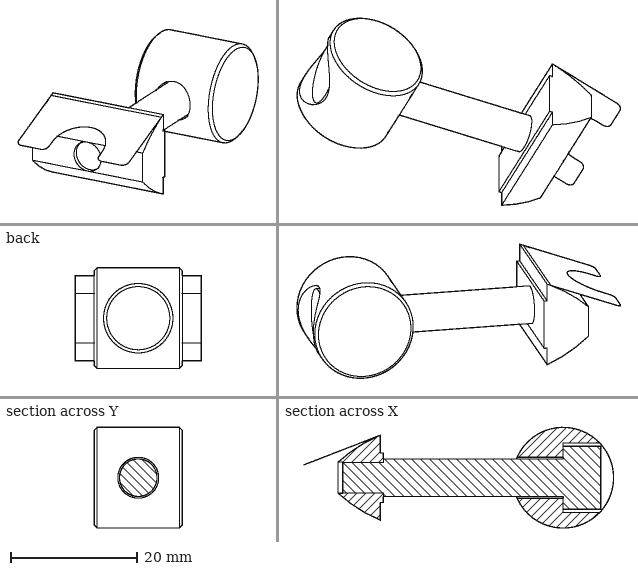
import cadquery as cq
import math


barrel_diameter = 16.0
barrel_length = 14.0
barrel_chamfer = 0.5
clearance_hole_diameter = 6.5
counterbore_diameter = 11.0
counterbore_seat_y = 0.0

shank_diameter = 6.0
head_diameter = 10.0
head_height = 6.0
tip_diameter = 4.9
tip_recess = 0.75

block_width = 20.0
block_back_y = -28.5
block_depth = 7.2
block_front_y = block_back_y - block_depth
block_height = 13.5
front_height = 4.9
pad_thickness = 0.5
pad_height = 7.9
shoulder_y = block_back_y - pad_thickness

overall_length = 49.15
tongue_front_y = barrel_diameter / 2 - overall_length
tongue_thickness = 0.025
tongue_corner_radius = 1.0
notch_width = 9.05
notch_depth = 6.55

flank_run = shoulder_y - block_front_y
flank_drop = (block_height - front_height) / 2
flank_chord = math.hypot(flank_run, flank_drop)
chord_angle = math.atan2(flank_drop, flank_run)
tongue_angle = math.radians(21.2)
flank_start_angle = math.radians(22.5)
flank_sagitta = flank_chord / 2 * math.tan((chord_angle - flank_start_angle) / 2)


def cylinder_along_y(diameter, start_y, end_y):
    """Cylinder on the Y axis between two Y positions."""
    start = cq.Workplane("XZ", origin=(0, start_y, 0))
    return start.circle(diameter / 2).extrude(start_y - end_y)


def make_barrel():
    """Cross barrel with a clearance hole and a counterbore for the screw head."""
    barrel = cq.Workplane("YZ").circle(barrel_diameter / 2).extrude(barrel_length / 2, both=True)
    barrel = barrel.faces("<X or >X").chamfer(barrel_chamfer)
    clearance_hole = cylinder_along_y(clearance_hole_diameter, barrel_diameter, -barrel_diameter)
    counterbore = cylinder_along_y(counterbore_diameter, barrel_diameter, counterbore_seat_y)
    return barrel.cut(clearance_hole).cut(counterbore)


def make_screw():
    """Cylinder-head screw whose reduced tip sits in the bore of the block."""
    head = cylinder_along_y(head_diameter, counterbore_seat_y + head_height, counterbore_seat_y)
    shank = cylinder_along_y(shank_diameter, counterbore_seat_y, block_back_y)
    tip = cylinder_along_y(tip_diameter, block_back_y, block_front_y + tip_recess)
    return head.union(shank).union(tip)


def make_block():
    """Block with a back pad, two curved flanks and a through bore."""
    mid_y = (shoulder_y + block_front_y) / 2
    mid_z = (block_height + front_height) / 4
    arc_y = mid_y - flank_sagitta * math.sin(chord_angle)
    arc_z = mid_z + flank_sagitta * math.cos(chord_angle)
    block = (
        cq.Workplane("YZ")
        .moveTo(block_back_y, pad_height / 2)
        .lineTo(shoulder_y, pad_height / 2)
        .lineTo(shoulder_y, block_height / 2)
        .threePointArc((arc_y, arc_z), (block_front_y, front_height / 2))
        .lineTo(block_front_y, -front_height / 2)
        .threePointArc((arc_y, -arc_z), (shoulder_y, -block_height / 2))
        .lineTo(shoulder_y, -pad_height / 2)
        .lineTo(block_back_y, -pad_height / 2)
        .close()
        .extrude(block_width / 2, both=True)
    )
    return block.cut(cylinder_along_y(tip_diameter, block_back_y, block_front_y))


def make_tongue():
    """Thin sloping sheet with a round-ended notch and rounded front corners."""
    top_z = block_height / 2
    front_z = top_z - (shoulder_y - tongue_front_y) * math.tan(tongue_angle)
    vertical_thickness = tongue_thickness / math.cos(tongue_angle)
    sheet = (
        cq.Workplane("YZ")
        .moveTo(shoulder_y, top_z)
        .lineTo(tongue_front_y, front_z)
        .lineTo(tongue_front_y, front_z - vertical_thickness)
        .lineTo(shoulder_y, top_z - vertical_thickness)
        .close()
        .extrude(block_width / 2, both=True)
    )
    notch_radius = notch_width / 2
    notch_end_y = tongue_front_y + notch_depth
    plan = (
        cq.Workplane("XY")
        .moveTo(-block_width / 2, shoulder_y)
        .lineTo(-block_width / 2, tongue_front_y)
        .lineTo(-notch_radius, tongue_front_y)
        .lineTo(-notch_radius, notch_end_y - notch_radius)
        .threePointArc((0, notch_end_y), (notch_radius, notch_end_y - notch_radius))
        .lineTo(notch_radius, tongue_front_y)
        .lineTo(block_width / 2, tongue_front_y)
        .lineTo(block_width / 2, shoulder_y)
        .close()
        .extrude(block_height / 2)
        .faces("<Y")
        .edges("|Z")
        .fillet(tongue_corner_radius)
    )
    return sheet.intersect(plan)


barrel = make_barrel()
screw = make_screw()
clamp = make_block().union(make_tongue())

result = cq.Compound.makeCompound([barrel.val(), screw.val(), *clamp.solids().vals()])